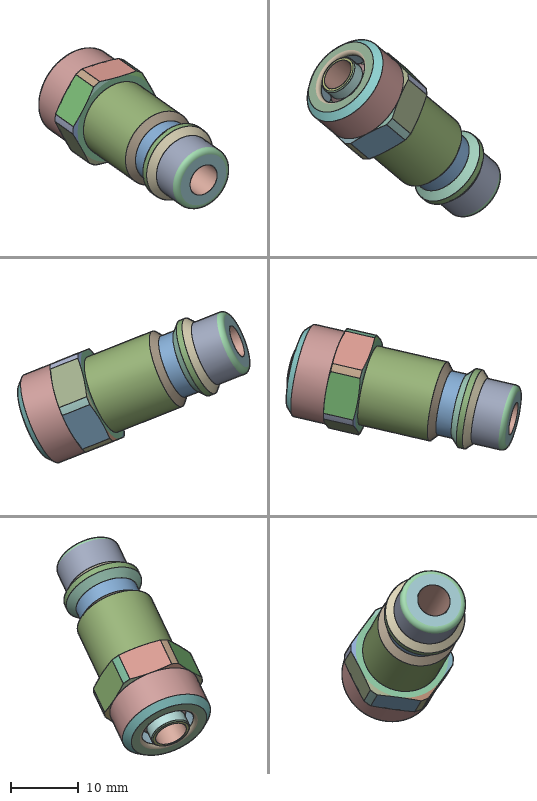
import cadquery as cq
import math

length = 34.0
nut_front = 0.78
hex_front = 6.85
hex_back = 11.8
shoulder_end = 22.5
groove_start = 23.5
groove_end = 25.85
collar_start = 26.95
collar_end = 27.9
tip_start = 28.95

bore_diameter = 4.9
hose_tube_diameter = 6.05
hose_tube_chamfer = 0.17
seat_diameter = 7.48
seat_cone_start = 2.05
seat_cone_length = 1.22
spigot_start = 6.12
spigot_diameter = 12.5
shank_diameter = 12.0
groove_diameter = 9.75
tip_diameter = 9.9
tip_rounding = 0.8

hex_across_flats = 14.0
hex_corner_diameter = 15.5
hex_turn = 3.5
hex_chamfer_depth = 0.2
hex_face_diameter = 14.0

nut_diameter = 14.0
nut_chamfer = 1.02
nut_bore_diameter = 8.25
nut_mouth_rounding = 0.48
nut_lip_end = 1.45


def revolve_about_x(profile):
    """Turn a closed (x, radius) profile about the X axis."""
    return profile.close().revolve(360, (0, 0, 0), (1, 0, 0))


def make_hexagon():
    """Hexagon with turned corners and a shallow chamfer around both faces."""
    prism = (
        cq.Workplane("YZ", origin=(hex_front, 0, 0))
        .polygon(6, hex_across_flats / math.cos(math.pi / 6))
        .extrude(hex_back - hex_front)
        .rotate((0, 0, 0), (1, 0, 0), -hex_turn)
    )
    face_radius = hex_face_diameter / 2
    corner_radius = hex_corner_diameter / 2
    turned_blank = revolve_about_x(
        cq.Workplane("XY")
        .moveTo(hex_front, 0)
        .lineTo(hex_front, face_radius)
        .lineTo(hex_front + hex_chamfer_depth, corner_radius)
        .lineTo(hex_back - hex_chamfer_depth, corner_radius)
        .lineTo(hex_back, face_radius)
        .lineTo(hex_back, 0)
    )
    return prism.intersect(turned_blank)


def make_stem():
    """Turned core of the plug: hose tube, seat, spigot, shank, groove, collar and tip."""
    tube_radius = hose_tube_diameter / 2
    seat_radius = seat_diameter / 2
    spigot_radius = spigot_diameter / 2
    shank_radius = shank_diameter / 2
    groove_radius = groove_diameter / 2
    tip_radius = tip_diameter / 2
    stem = revolve_about_x(
        cq.Workplane("XY")
        .lineTo(0, tube_radius - hose_tube_chamfer)
        .lineTo(hose_tube_chamfer, tube_radius)
        .lineTo(seat_cone_start, tube_radius)
        .lineTo(seat_cone_start + seat_cone_length, seat_radius)
        .lineTo(spigot_start, seat_radius)
        .lineTo(spigot_start, spigot_radius)
        .lineTo(hex_front, spigot_radius)
        .lineTo(hex_front, shank_radius)
        .lineTo(shoulder_end, shank_radius)
        .lineTo(groove_start, groove_radius)
        .lineTo(groove_end, groove_radius)
        .lineTo(collar_start, shank_radius)
        .lineTo(collar_end, shank_radius)
        .lineTo(tip_start, tip_radius)
        .lineTo(length, tip_radius)
        .lineTo(length, 0)
    )
    return stem.faces(">X").edges().fillet(tip_rounding)


def make_plug():
    """Hexagon and stem with the through bore."""
    bore = cq.Workplane("YZ").circle(bore_diameter / 2).extrude(length)
    return make_stem().union(make_hexagon()).cut(bore)


def make_nut():
    """Round clamping nut that butts against the front face of the hexagon."""
    nut = (
        cq.Workplane("YZ", origin=(nut_front, 0, 0))
        .circle(nut_diameter / 2)
        .extrude(hex_front - nut_front)
        .faces("<X")
        .chamfer(nut_chamfer)
    )
    bore = (
        cq.Workplane("YZ", origin=(nut_front, 0, 0))
        .circle(nut_bore_diameter / 2)
        .extrude(nut_lip_end - nut_front)
    )
    spigot_recess = (
        cq.Workplane("YZ", origin=(nut_lip_end, 0, 0))
        .circle(spigot_diameter / 2)
        .extrude(hex_front - nut_lip_end)
    )
    nut = nut.cut(bore).cut(spigot_recess)
    mouth = nut.faces("<X").edges(cq.selectors.RadiusNthSelector(0))
    return mouth.fillet(nut_mouth_rounding)


plug = make_plug()
nut = make_nut()

result = cq.Compound.makeCompound([plug.val(), nut.val()])